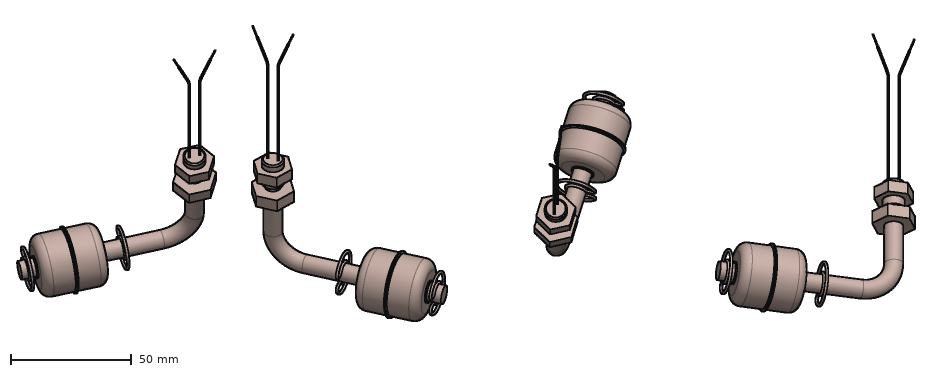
import cadquery as cq
import math

OVERALL_HEIGHT = 136.1

TUBE_RADIUS = 8.0 / 2
BEND_RADIUS = 14.0
ARM_LENGTH = 75.1
ARM_YAW = -0.5
FLANGE_ACROSS_FLATS = 16.0
FLANGE_BOTTOM = 31.9
FLANGE_TOP = 37.6
NECK_RADIUS = 3.3
THREAD_RADIUS = 9.4 / 2
THREAD_BOTTOM = 39.6
STEM_TOP = 52.4
THREAD_TOP_CHAMFER = 0.7
THREAD_BOTTOM_CHAMFER = 0.4

NUT_ACROSS_FLATS = 14.5
NUT_BOTTOM = 43.8
NUT_HEIGHT = 5.3

FLOAT_RADIUS = 26.8 / 2
FLOAT_LENGTH = 28.5
FLOAT_CENTRE = 54.0
FLOAT_DROP = 0.3
FLOAT_PITCH = -0.5
FLOAT_EDGE_RADIUS = 4.1
FLOAT_BORE_CLEARANCE = 0.4
FLOAT_BORE_RADIUS = TUBE_RADIUS + FLOAT_BORE_CLEARANCE
COLLAR_RADIUS = 4.8
COLLAR_HEIGHT = 0.7
RIM_RADIUS = 14.3
RIM_BASE_WIDTH = 1.4
RIM_CREST_WIDTH = 0.5

CLIP_WIRE_RADIUS = 0.61
CLIP_OUTER_RADIUS = 17.8 / 2
CLIP_INNER_RADIUS = TUBE_RADIUS + CLIP_WIRE_RADIUS
CLIP_LEG_OFFSET = 2.2
CLIP_CURL_RADIUS = 1.6
CLIP_ROOT_RADIUS = 0.8
CLIP_POSITIONS = (30.9, 71.9)

LEAD_OFFSET = 2.3
LEAD_RADIUS = 0.4
CORE_RADIUS = 0.23
LEAD_SPLAY = 20.0
LEAD_BEND_RADIUS = 7.5
SPLAYED_SLEEVE_LENGTH = 11.8
BARE_CORE_LENGTH = 6.0


def cylinder(radius, bottom, top):
    return cq.Workplane("XY", origin=(0, 0, bottom)).circle(radius).extrude(top - bottom)


def hexagon(across_flats, bottom, top):
    """Hexagonal prism with corners on the +Y and -Y sides."""
    corner_diameter = across_flats / math.cos(math.pi / 6)
    base = cq.Workplane("XY", origin=(0, 0, bottom)).transformed(rotate=(0, 0, 90))
    return base.polygon(6, corner_diameter).extrude(top - bottom)


def swing(body):
    """Turn a body about the stem axis, from the -Y direction to that of the arm."""
    return body.rotate((0, 0, 0), (0, 0, 1), ARM_YAW)


def make_stem():
    path = (
        cq.Workplane("YZ")
        .moveTo(0, FLANGE_BOTTOM)
        .lineTo(0, BEND_RADIUS)
        .radiusArc((-BEND_RADIUS, 0), BEND_RADIUS)
        .lineTo(-ARM_LENGTH, 0)
    )
    tube = cq.Workplane("XY", origin=(0, 0, FLANGE_BOTTOM)).circle(TUBE_RADIUS).sweep(path)
    flange = hexagon(FLANGE_ACROSS_FLATS, FLANGE_BOTTOM, FLANGE_TOP)
    neck = cylinder(NECK_RADIUS, FLANGE_TOP, THREAD_BOTTOM)
    thread = cylinder(THREAD_RADIUS, THREAD_BOTTOM, STEM_TOP)
    thread = thread.faces(">Z").chamfer(THREAD_TOP_CHAMFER).faces("<Z").chamfer(THREAD_BOTTOM_CHAMFER)
    return swing(tube).union(flange).union(neck).union(thread)


def make_nut():
    nut_top = NUT_BOTTOM + NUT_HEIGHT
    prism = swing(hexagon(NUT_ACROSS_FLATS, NUT_BOTTOM, nut_top))
    return prism.cut(cylinder(THREAD_RADIUS, NUT_BOTTOM, nut_top))


def make_float():
    """Rounded drum with a tapered rim around its middle and a short collar at each end."""
    end = FLOAT_LENGTH / 2
    shoulder = end - FLOAT_EDGE_RADIUS
    flat = FLOAT_RADIUS - FLOAT_EDGE_RADIUS
    collar_end = end + COLLAR_HEIGHT
    half_base = RIM_BASE_WIDTH / 2
    half_crest = RIM_CREST_WIDTH / 2
    body = (
        cq.Workplane("XY")
        .moveTo(FLOAT_BORE_RADIUS, -collar_end)
        .lineTo(COLLAR_RADIUS, -collar_end)
        .lineTo(COLLAR_RADIUS, -end)
        .lineTo(flat, -end)
        .radiusArc((FLOAT_RADIUS, -shoulder), -FLOAT_EDGE_RADIUS)
        .lineTo(FLOAT_RADIUS, -half_base)
        .lineTo(RIM_RADIUS, -half_crest)
        .lineTo(RIM_RADIUS, half_crest)
        .lineTo(FLOAT_RADIUS, half_base)
        .lineTo(FLOAT_RADIUS, shoulder)
        .radiusArc((flat, end), -FLOAT_EDGE_RADIUS)
        .lineTo(COLLAR_RADIUS, end)
        .lineTo(COLLAR_RADIUS, collar_end)
        .lineTo(FLOAT_BORE_RADIUS, collar_end)
        .close()
        .revolve(360, (0, 0, 0), (0, 1, 0))
    )
    tilted = body.rotate((0, 0, 0), (1, 0, 0), FLOAT_PITCH)
    return swing(tilted.translate((0, -FLOAT_CENTRE, -FLOAT_DROP)))


def make_clip(distance):
    """Round wire: an outer loop whose ends curl in to legs that join an inner loop on the tube."""
    curl_z = CLIP_LEG_OFFSET + CLIP_CURL_RADIUS
    curl_reach = CLIP_OUTER_RADIUS - CLIP_CURL_RADIUS
    curl_x = -math.sqrt(curl_reach**2 - curl_z**2)
    outer_scale = CLIP_OUTER_RADIUS / curl_reach
    outer_end = (curl_x * outer_scale, curl_z * outer_scale)
    curl_end = (curl_x, CLIP_LEG_OFFSET)

    root_z = CLIP_LEG_OFFSET + CLIP_ROOT_RADIUS
    root_reach = CLIP_INNER_RADIUS + CLIP_ROOT_RADIUS
    root_x = -math.sqrt(root_reach**2 - root_z**2)
    inner_scale = CLIP_INNER_RADIUS / root_reach
    leg_end = (root_x, CLIP_LEG_OFFSET)
    inner_end = (root_x * inner_scale, root_z * inner_scale)

    def below(point):
        return (point[0], -point[1])

    curl_middle = (curl_x - CLIP_CURL_RADIUS, curl_z)
    path = (
        cq.Workplane("XZ", origin=(0, -distance, 0))
        .moveTo(CLIP_OUTER_RADIUS, 0)
        .threePointArc((0, CLIP_OUTER_RADIUS), outer_end)
        .threePointArc(curl_middle, curl_end)
        .lineTo(*leg_end)
        .radiusArc(inner_end, -CLIP_ROOT_RADIUS)
        .threePointArc((CLIP_INNER_RADIUS, 0), below(inner_end))
        .radiusArc(below(leg_end), -CLIP_ROOT_RADIUS)
        .lineTo(*below(curl_end))
        .threePointArc(below(curl_middle), below(outer_end))
        .threePointArc((0, -CLIP_OUTER_RADIUS), (CLIP_OUTER_RADIUS, 0))
    )
    section = cq.Workplane("XY", origin=(CLIP_OUTER_RADIUS, -distance, 0)).circle(CLIP_WIRE_RADIUS)
    return swing(section.sweep(path))


def lead_wire(side, radius, splayed_length):
    """Round wire that rises from the stem top and splays outward; side is +1 or -1 along Y."""
    splay = math.radians(LEAD_SPLAY)
    full_length = SPLAYED_SLEEVE_LENGTH + BARE_CORE_LENGTH
    lowest = -(RIM_RADIUS + FLOAT_DROP)
    tip_height = lowest + OVERALL_HEIGHT - CORE_RADIUS * math.sin(splay)
    bend_end_z = tip_height - full_length * math.cos(splay)
    bend_start_z = bend_end_z - LEAD_BEND_RADIUS * math.sin(splay)
    bend_end_y = LEAD_OFFSET + LEAD_BEND_RADIUS * (1 - math.cos(splay))
    end_y = bend_end_y + splayed_length * math.sin(splay)
    end_z = bend_end_z + splayed_length * math.cos(splay)
    path = (
        cq.Workplane("YZ")
        .moveTo(side * LEAD_OFFSET, STEM_TOP)
        .lineTo(side * LEAD_OFFSET, bend_start_z)
        .radiusArc((side * bend_end_y, bend_end_z), side * LEAD_BEND_RADIUS)
        .lineTo(side * end_y, end_z)
    )
    return cq.Workplane("XY", origin=(0, side * LEAD_OFFSET, STEM_TOP)).circle(radius).sweep(path)


def make_core(side):
    return lead_wire(side, CORE_RADIUS, SPLAYED_SLEEVE_LENGTH + BARE_CORE_LENGTH)


def make_sleeve(side):
    return lead_wire(side, LEAD_RADIUS, SPLAYED_SLEEVE_LENGTH).cut(make_core(side))


stem = make_stem()
nut = make_nut()
float_drum = make_float()
clips = [make_clip(distance).val() for distance in CLIP_POSITIONS]
cores = [make_core(side).val() for side in (1, -1)]
sleeves = [make_sleeve(side).val() for side in (1, -1)]

result = cq.Compound.makeCompound([stem.val(), nut.val(), float_drum.val(), *clips, *cores, *sleeves])